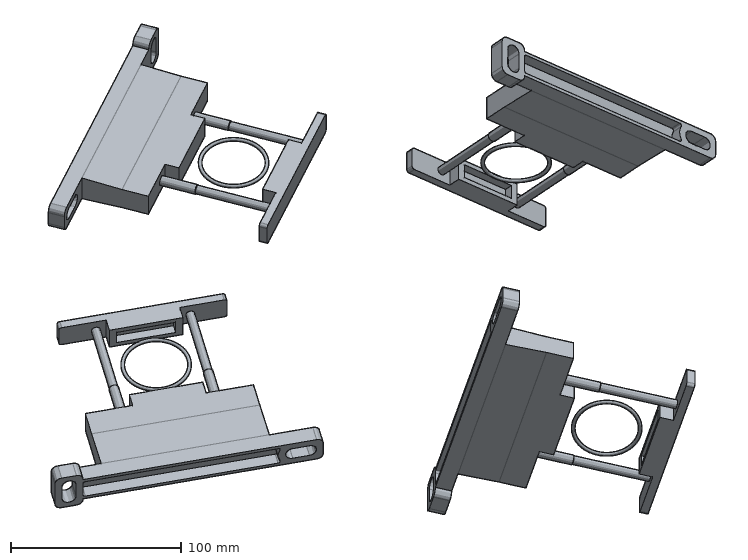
import cadquery as cq


BAR_LENGTH = 162.0
BAR_THICKNESS = 10.0
BAR_HEIGHT = 17.0
HEAD_WIDTH = 17.0
HEAD_HEIGHT = 26.0
BAR_CORNER_RADIUS = 4.0

SLOT_LENGTH = 18.5
SLOT_WIDTH = 8.5
SLOT_END_MARGIN = 4.2

POCKET_DEPTH = 7.3
POCKET_HEIGHT = 12.6
POCKET_CORNER_RADIUS = 1.3
POCKET_SLOT_WALL = 4.7

BODY_WIDTH = 101.5
BODY_HEIGHT = 14.9
TAPER_END_X = 35.2
BODY_END_X = 51.7
NOSE_WIDTH = 44.4
NOSE_LENGTH = 8.7

OVERALL_LENGTH = 126.0
PLATE_THICKNESS = 5.0
PLATE_CORNER_RADIUS = 1.8
PAD_LENGTH = 8.3
PAD_POCKET_DEPTH = 5.5
PAD_POCKET_WIDTH = 35.6
PAD_POCKET_HEIGHT = 8.9

PIN_SPACING = 57.0
PIN_LARGE_DIAMETER = 6.0
PIN_SMALL_DIAMETER = 5.3
PIN_BEVEL_START_X = 73.7

RING_OUTER_DIAMETER = 41.6
RING_WIRE_DIAMETER = 2.3
RING_CENTRE_X = 86.5

PLATE_START_X = OVERALL_LENGTH - PLATE_THICKNESS
HEAD_CENTRE_Y = (BAR_LENGTH - HEAD_WIDTH) / 2
HEAD_INNER_Y = BAR_LENGTH / 2 - HEAD_WIDTH
END_SLOT_CENTRE_Y = -BAR_LENGTH / 2 + SLOT_END_MARGIN + SLOT_LENGTH / 2
SLOT_ARC_CENTRE_Y = END_SLOT_CENTRE_Y + (SLOT_LENGTH - SLOT_WIDTH) / 2
POCKET_ARC_RADIUS = SLOT_WIDTH / 2 + POCKET_SLOT_WALL


def block(x_start, x_end, width, height, y_centre=0):
    """Rectangular block between two X positions, centred on Z = 0."""
    return cq.Workplane("YZ", origin=(x_start, y_centre, 0)).rect(width, height).extrude(x_end - x_start)


def make_bar():
    """Mounting bar with a taller head at its +Y end, all outer corners rounded."""
    bar = block(0, BAR_THICKNESS, BAR_LENGTH, BAR_HEIGHT)
    bar = bar.edges("|X and <Y").fillet(BAR_CORNER_RADIUS)
    head = block(0, BAR_THICKNESS, HEAD_WIDTH, HEAD_HEIGHT, HEAD_CENTRE_Y)
    head = head.edges("|X").fillet(BAR_CORNER_RADIUS)
    return bar.union(head)


def make_body():
    """Body that tapers from the bar height to a constant height, with a central nose."""
    profile = [
        (BAR_THICKNESS, BAR_HEIGHT / 2),
        (TAPER_END_X, BODY_HEIGHT / 2),
        (BODY_END_X, BODY_HEIGHT / 2),
        (BODY_END_X, -BODY_HEIGHT / 2),
        (TAPER_END_X, -BODY_HEIGHT / 2),
        (BAR_THICKNESS, -BAR_HEIGHT / 2),
    ]
    body = cq.Workplane("XZ").polyline(profile).close().extrude(BODY_WIDTH / 2, both=True)
    nose = block(BODY_END_X, BODY_END_X + NOSE_LENGTH, NOSE_WIDTH, BODY_HEIGHT)
    return body.union(nose)


def make_slot(y_centre, angle):
    """Cutter for a round-ended slot through the bar."""
    plane = cq.Workplane("YZ", origin=(0, y_centre, 0))
    return plane.slot2D(SLOT_LENGTH, SLOT_WIDTH, angle).extrude(BAR_THICKNESS)


def make_bar_pocket():
    """Cutter for the long pocket, whose -Y end is hollowed concentric with the end slot."""
    length = HEAD_INNER_Y - SLOT_ARC_CENTRE_Y
    pocket = block(0, POCKET_DEPTH, length, POCKET_HEIGHT, SLOT_ARC_CENTRE_Y + length / 2)
    slot_wall = cq.Workplane("YZ", origin=(0, SLOT_ARC_CENTRE_Y, 0)).circle(POCKET_ARC_RADIUS)
    pocket = pocket.cut(slot_wall.extrude(POCKET_DEPTH))
    return pocket.edges("|X").fillet(POCKET_CORNER_RADIUS)


def make_housing():
    """Bar and body in one piece, with its slots and pocket."""
    housing = make_bar().union(make_body())
    housing = housing.cut(make_slot(HEAD_CENTRE_Y, 90))
    housing = housing.cut(make_slot(END_SLOT_CENTRE_Y, 0))
    return housing.cut(make_bar_pocket())


def make_end_plate():
    """Plate with a pocketed pad facing the housing."""
    plate = block(PLATE_START_X, OVERALL_LENGTH, BODY_WIDTH, BODY_HEIGHT)
    plate = plate.edges("|X").fillet(PLATE_CORNER_RADIUS)
    pad_start = PLATE_START_X - PAD_LENGTH
    pad = block(pad_start, PLATE_START_X, NOSE_WIDTH, BODY_HEIGHT)
    pocket = block(pad_start, pad_start + PAD_POCKET_DEPTH, PAD_POCKET_WIDTH, PAD_POCKET_HEIGHT)
    return plate.union(pad).cut(pocket)


def make_pin(y_centre):
    """Pin from the body to the end plate, bevelled at 45 degrees down to its smaller diameter."""
    large_radius = PIN_LARGE_DIAMETER / 2
    small_radius = PIN_SMALL_DIAMETER / 2
    half_profile = [
        (BODY_END_X, 0),
        (BODY_END_X, large_radius),
        (PIN_BEVEL_START_X, large_radius),
        (PIN_BEVEL_START_X + large_radius - small_radius, small_radius),
        (PLATE_START_X, small_radius),
        (PLATE_START_X, 0),
    ]
    pin = cq.Workplane("XY").polyline(half_profile).close().revolve(360, (0, 0, 0), (1, 0, 0))
    return pin.translate((0, y_centre, 0))


def make_ring():
    """Round-wire ring lying flat between the pins."""
    wire_radius = RING_WIRE_DIAMETER / 2
    ring = cq.Solid.makeTorus(RING_OUTER_DIAMETER / 2 - wire_radius, wire_radius)
    return ring.translate(cq.Vector(RING_CENTRE_X, 0, 0))


housing = make_housing()
end_plate = make_end_plate()
pins = [make_pin(side * PIN_SPACING / 2) for side in (-1, 1)]
ring = make_ring()

result = cq.Compound.makeCompound([housing.val(), end_plate.val(), *[pin.val() for pin in pins], ring])